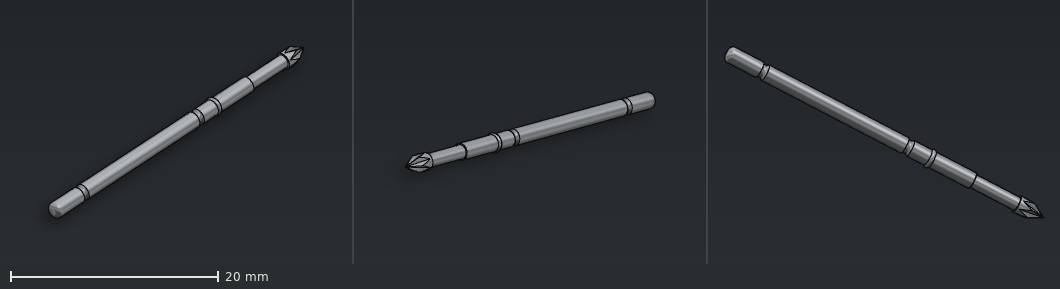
import cadquery as cq
import math

total_length = 35.4

barrel_radius = 0.85
barrel_length = 27.4
tail_fillet = 0.45

ring_radius = 1.0
ring_center = 22.65
ring_width = 0.45

groove_centers = (3.93, 20.15)
groove_width = 0.65
groove_depth = 0.18

shaft_radius = 0.7
head_radius = 0.9
head_length = 3.0
edge_count = 6
edge_run = 1.52
valley_run = 2.73

head_base = total_length - head_length


def cylinder(radius, start, end):
    """Cylinder around the Y axis between two stations."""
    plane = cq.Workplane("XZ", origin=(0, start, 0))
    return plane.circle(radius).extrude(start - end)


def make_barrel():
    """Tube with a rounded tail and round-bottomed crimp grooves."""
    barrel = cylinder(barrel_radius, 0, barrel_length).faces("<Y").edges().fillet(tail_fillet)
    half_width = groove_width / 2
    for center in groove_centers:
        groove = (
            cq.Workplane("XY")
            .moveTo(barrel_radius, center - half_width)
            .threePointArc(
                (barrel_radius - groove_depth, center),
                (barrel_radius, center + half_width),
            )
            .close()
            .revolve(360, (0, 0, 0), (0, 1, 0))
        )
        barrel = barrel.cut(groove)
    return barrel


def make_ring():
    """Rounded bead standing out from the barrel surface."""
    half_width = ring_width / 2
    return (
        cq.Workplane("XY")
        .moveTo(0, ring_center - half_width)
        .lineTo(barrel_radius, ring_center - half_width)
        .threePointArc((ring_radius, ring_center), (barrel_radius, ring_center + half_width))
        .lineTo(0, ring_center + half_width)
        .close()
        .revolve(360, (0, 0, 0), (0, 1, 0))
    )


def make_star_pyramid():
    """Pyramid on a star base: sharp edges and valleys alternate and all meet at the tip."""
    edge_reach = head_radius * head_length / edge_run
    valley_reach = head_radius * head_length / valley_run
    tip = cq.Vector(0, total_length, 0)
    corners = []
    for index in range(2 * edge_count):
        angle = index * math.pi / edge_count
        reach = edge_reach if index % 2 == 0 else valley_reach
        corners.append(cq.Vector(reach * math.cos(angle), head_base, reach * math.sin(angle)))

    def flat_face(points):
        return cq.Face.makeFromWires(cq.Wire.makePolygon(points, close=True))

    faces = [flat_face(corners)]
    for index, corner in enumerate(corners):
        faces.append(flat_face([corners[index - 1], corner, tip]))
    return cq.Workplane(cq.Solid.makeSolid(cq.Shell.makeShell(faces)))


def make_head():
    """Round head ground to a six-edged point."""
    return cylinder(head_radius, head_base, total_length).intersect(make_star_pyramid())


shaft = cylinder(shaft_radius, barrel_length, head_base)

result = make_barrel().union(make_ring()).union(shaft).union(make_head())